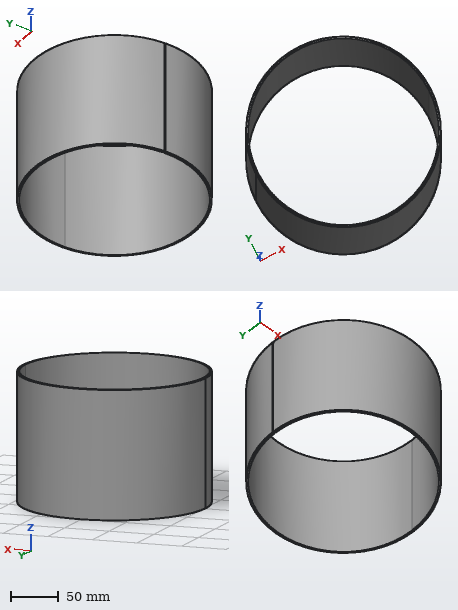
import cadquery as cq

outer_diameter = 205.0
height = 140.0
wall = 2.5
edge_chamfer = 0.51
slit_width = 1.5

outer_radius = outer_diameter / 2
inner_radius = outer_radius - wall

outer_body = cq.Workplane("XY").circle(outer_radius).extrude(height)
outer_body = outer_body.faces("<Z or >Z").edges().chamfer(edge_chamfer)
bore = cq.Workplane("XY").circle(inner_radius).extrude(height)
tube = outer_body.cut(bore)

slit = cq.Workplane("XY").box(outer_radius, slit_width, height, centered=False)
slit = slit.translate((-outer_radius, 0, 0))

result = tube.cut(slit)